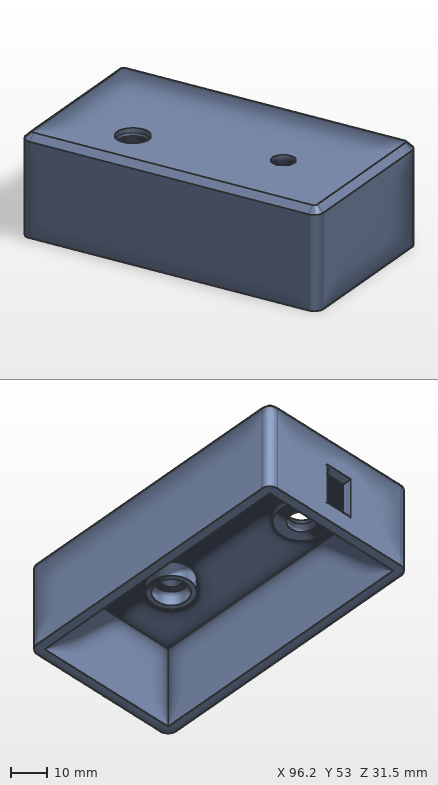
import cadquery as cq

length = 96.25
width = 53.0
height = 31.5
wall = 3.0
corner_radius = wall
top_chamfer = 2.0
ceiling = height - wall

recess_x = -20.6
recess_y = -11.9
recess_diameter = 10.0
recess_depth = 2.0
recess_floor_fillet = 0.5
recess_hole_diameter = 8.4
pad_diameter = recess_diameter + 2 * wall

guide_x = 23.2
guide_y = -3.85
guide_hole_diameter = 6.9
tube_bore_diameter = 11.0
tube_wall = 1.5
tube_diameter = tube_bore_diameter + 2 * tube_wall
tube_length = 5.0

window_width = 9.0
window_height = 14.0
window_sill = 6.3


def cylinder(x, y, bottom, top, diameter):
    """Upright cylinder between two heights."""
    return (
        cq.Workplane("XY", origin=(x, y, bottom))
        .circle(diameter / 2)
        .extrude(top - bottom)
    )


def make_shell():
    """Open-bottomed box with rounded corners and a chamfered top edge."""
    outside = (
        cq.Workplane("XY")
        .box(length, width, height, centered=(True, True, False))
        .edges("|Z")
        .fillet(corner_radius)
        .faces(">Z")
        .edges()
        .chamfer(top_chamfer)
    )
    cavity = cq.Workplane("XY").box(
        length - 2 * wall, width - 2 * wall, ceiling, centered=(True, True, False)
    )
    return outside.cut(cavity)


def add_recessed_hole(body):
    """Thicken the top from below, then cut the round-bottomed recess and its through hole."""
    recess_floor = height - recess_depth
    pad_bottom = recess_floor - wall
    pad = cylinder(recess_x, recess_y, pad_bottom, ceiling, pad_diameter)
    recess = (
        cylinder(recess_x, recess_y, recess_floor, height, recess_diameter)
        .faces("<Z")
        .edges()
        .fillet(recess_floor_fillet)
    )
    hole = cylinder(recess_x, recess_y, pad_bottom, recess_floor, recess_hole_diameter)
    return body.union(pad).cut(recess).cut(hole)


def add_guided_hole(body):
    """Hang the guide tube from the ceiling and cut the hole above it."""
    tube_bottom = ceiling - tube_length
    tube = cylinder(guide_x, guide_y, tube_bottom, ceiling, tube_diameter)
    tube_bore = cylinder(guide_x, guide_y, tube_bottom, ceiling, tube_bore_diameter)
    hole = cylinder(guide_x, guide_y, ceiling, height, guide_hole_diameter)
    return body.union(tube.cut(tube_bore)).cut(hole)


def cut_window(body):
    """Cut the rectangular window through the -X wall."""
    wall_middle_x = (wall - length) / 2
    window = cq.Workplane("XY", origin=(wall_middle_x, 0, window_sill)).box(
        wall, window_width, window_height, centered=(True, True, False)
    )
    return body.cut(window)


shell = make_shell()
shell_with_holes = add_guided_hole(add_recessed_hole(shell))
result = cut_window(shell_with_holes)